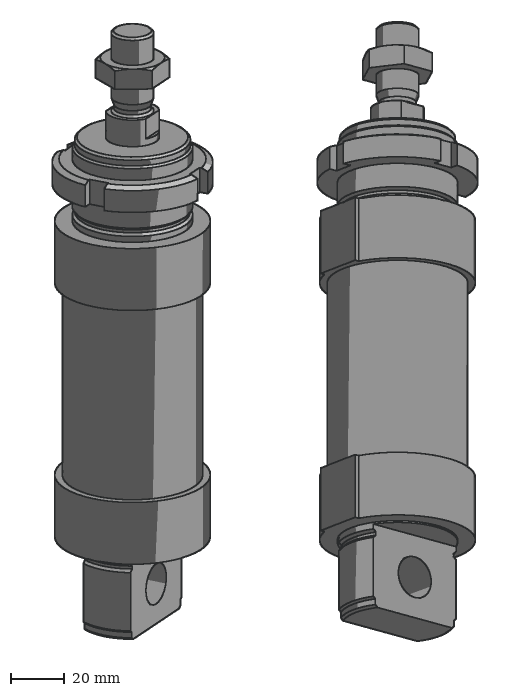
import cadquery as cq

overall_length = 235.2
housing_top = 192.6
front_cap_top = 159.2
cap_height = 24.7
rear_cap_bottom = 33.2
clevis_top = 32.5

cap_diameter = 58.0
tube_diameter = 52.5
port_pad_width = 20.0
neck_diameter = 45.0
relief_diameter = 43.3
groove_diameter = 42.8
groove_width = 3.3
front_groove_bottom = 161.5
rear_groove_bottom = 27.3
relief_length = 4.0
relief_taper = (neck_diameter - relief_diameter) / 2
end_chamfer = 1.0
clevis_thickness = 20.0
clevis_hole_diameter = 16.0
clevis_hole_height = 16.0

rod_diameter = 20.0
rod_shoulder = 203.2
rod_flats_width = 17.0
rod_flats_length = 8.0
thread_diameter = 16.0
thread_bottom = 208.6
thread_tip_chamfer = 1.0
undercut_diameter = 13.9
undercut_top_taper = 2.8
undercut_bottom_taper = 1.0

hex_across_flats = 24.0
hex_corner_diameter = 2 * hex_across_flats / 3 ** 0.5
hex_nut_height = 8.0
hex_nut_bottom = 216.5
hex_chamfer_height = 0.7
hex_chamfer_top_diameter = hex_across_flats

ring_diameter = 60.0
ring_height = 9.9
ring_bottom = 174.0
ring_chamfer_width = 2.5
ring_chamfer_height = 1.2
ring_slot_width = 8.0
ring_slot_floor = 26.3
ring_slot_count = 4


def turned(profile):
    """Revolve (diameter, height) points, listed bottom to top, about Z."""
    radii = [(diameter / 2, height) for diameter, height in profile]
    outline = [(0, profile[0][1]), *radii, (0, profile[-1][1])]
    return cq.Workplane("XZ").polyline(outline).close().revolve(360, (0, 0), (0, 1))


def groove_profile(bottom):
    """Profile points of a groove with 45 degree sides around a neck."""
    depth = (neck_diameter - groove_diameter) / 2
    return [
        (neck_diameter, bottom),
        (groove_diameter, bottom + depth),
        (groove_diameter, bottom + groove_width - depth),
        (neck_diameter, bottom + groove_width),
    ]


def make_turned_housing():
    end_diameter = relief_diameter - 2 * end_chamfer
    front_relief_bottom = housing_top - relief_length
    front_cap_bottom = front_cap_top - cap_height
    rear_cap_top = rear_cap_bottom + cap_height
    return turned([
        (end_diameter, 0),
        (relief_diameter, end_chamfer),
        (relief_diameter, relief_length - relief_taper),
        (neck_diameter, relief_length),
        *groove_profile(rear_groove_bottom),
        (neck_diameter, rear_cap_bottom),
        (cap_diameter, rear_cap_bottom),
        (cap_diameter, rear_cap_top),
        (tube_diameter, rear_cap_top),
        (tube_diameter, front_cap_bottom),
        (cap_diameter, front_cap_bottom),
        (cap_diameter, front_cap_top),
        (neck_diameter, front_cap_top),
        *groove_profile(front_groove_bottom),
        (neck_diameter, front_relief_bottom),
        (relief_diameter, front_relief_bottom + relief_taper),
        (relief_diameter, housing_top - end_chamfer),
        (end_diameter, housing_top),
    ])


def make_port_pad(cap_bottom):
    """Flat-faced pad along the +Y side of an end cap."""
    depth = cap_diameter / 2
    return (
        cq.Workplane("XY")
        .workplane(offset=cap_bottom)
        .center(0, depth / 2)
        .rect(port_pad_width, depth)
        .extrude(cap_height)
    )


def cut_clevis(housing):
    """Flatten the rear neck to an eye plate and drill the pivot hole along X."""
    plate = cq.Workplane("XY").rect(clevis_thickness, cap_diameter).extrude(clevis_top)
    waste = cq.Workplane("XY").circle(cap_diameter / 2).extrude(clevis_top).cut(plate)
    pivot_hole = (
        cq.Workplane("YZ")
        .center(0, clevis_hole_height)
        .circle(clevis_hole_diameter / 2)
        .extrude(clevis_thickness, both=True)
    )
    return housing.cut(waste).cut(pivot_hole)


def make_housing():
    housing = make_turned_housing()
    for cap_bottom in (rear_cap_bottom, front_cap_top - cap_height):
        housing = housing.union(make_port_pad(cap_bottom))
    return cut_clevis(housing)


def make_rod():
    tip_diameter = thread_diameter - 2 * thread_tip_chamfer
    rod = turned([
        (rod_diameter, housing_top),
        (rod_diameter, rod_shoulder),
        (thread_diameter, rod_shoulder),
        (undercut_diameter, rod_shoulder + undercut_bottom_taper),
        (undercut_diameter, thread_bottom - undercut_top_taper),
        (thread_diameter, thread_bottom),
        (thread_diameter, overall_length - thread_tip_chamfer),
        (tip_diameter, overall_length),
    ])
    flats = (
        cq.Workplane("XY")
        .workplane(offset=rod_shoulder - rod_flats_length)
        .rect(2 * rod_diameter, 2 * rod_diameter)
        .rect(rod_flats_width, 2 * rod_diameter)
        .extrude(rod_flats_length)
    )
    return rod.cut(flats)


def make_hex_nut():
    nut_top = hex_nut_bottom + hex_nut_height
    prism = (
        cq.Workplane("XY")
        .workplane(offset=hex_nut_bottom)
        .transformed(rotate=(0, 0, 90))
        .polygon(6, hex_corner_diameter)
        .circle(thread_diameter / 2)
        .extrude(hex_nut_height)
    )
    corner_cone = turned([
        (hex_corner_diameter, hex_nut_bottom),
        (hex_corner_diameter, nut_top - hex_chamfer_height),
        (hex_chamfer_top_diameter, nut_top),
    ])
    return prism.intersect(corner_cone)


def make_ring_nut():
    ring_top = ring_bottom + ring_height
    ring = turned([
        (ring_diameter, ring_bottom),
        (ring_diameter, ring_top - ring_chamfer_height),
        (ring_diameter - 2 * ring_chamfer_width, ring_top),
    ])
    bore = cq.Workplane("XY").circle(neck_diameter / 2).extrude(overall_length)
    slots = (
        cq.Workplane("XY")
        .workplane(offset=ring_bottom)
        .polarArray(ring_slot_floor + ring_slot_width / 2, 0, 360, ring_slot_count)
        .rect(ring_slot_width, ring_slot_width)
        .extrude(ring_height)
    )
    return ring.cut(bore).cut(slots)


housing = make_housing()
rod = make_rod()
hex_nut = make_hex_nut()
ring_nut = make_ring_nut()

result = cq.Compound.makeCompound([housing.val(), rod.val(), hex_nut.val(), ring_nut.val()])